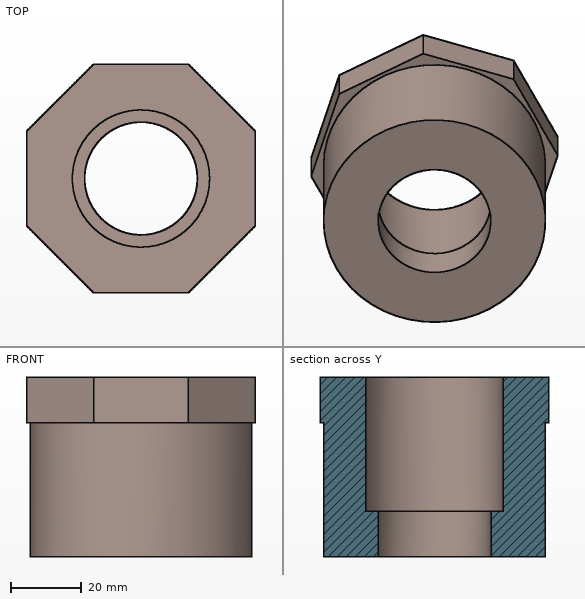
import cadquery as cq
import math

across_flats = 65.0
total_height = 51.0
head_height = 13.0
spigot_diameter = 63.05

socket_diameter = 39.0
bore_diameter = 32.0
socket_depth = 38.0

head_sides = 8
across_corners = across_flats / math.cos(math.pi / head_sides)
flat_alignment_angle = 180.0 / head_sides

spigot_height = total_height - head_height

spigot = cq.Workplane("XY").circle(spigot_diameter / 2).extrude(spigot_height)

head = (
    cq.Workplane("XY")
    .workplane(offset=spigot_height)
    .transformed(rotate=(0, 0, flat_alignment_angle))
    .polygon(head_sides, across_corners)
    .extrude(head_height)
)

bore = cq.Workplane("XY").circle(bore_diameter / 2).extrude(total_height)

socket = (
    cq.Workplane("XY")
    .workplane(offset=total_height - socket_depth)
    .circle(socket_diameter / 2)
    .extrude(socket_depth)
)

result = spigot.union(head).cut(bore).cut(socket)